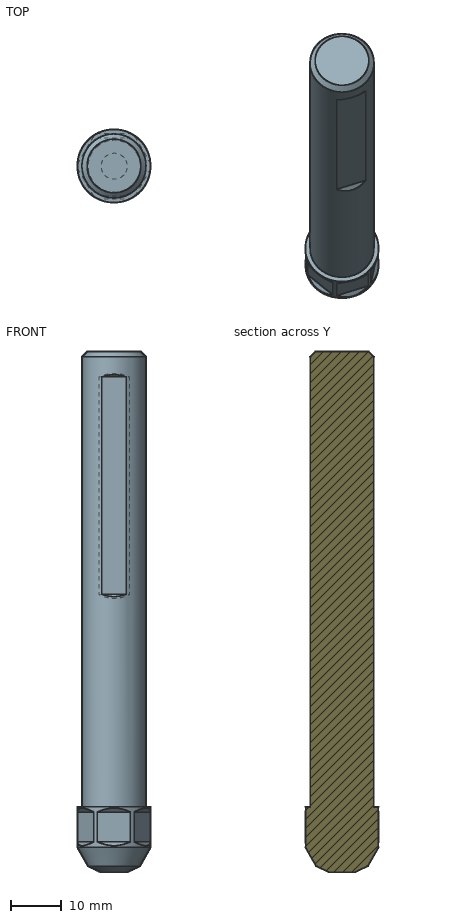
import cadquery as cq

length = 103.0
shaft_radius = 12.7 / 2
top_chamfer = 1.0

head_radius = 14.5 / 2
head_top = 13.0
cone_top = 4.9
cone_bottom = 1.2
cone_bottom_radius = 5.2
tip_radius = 2.6

flat_count = 6
flat_distance = 6.5
flat_bottom = 6.1
flat_top = 11.9

front_flat_distance = 5.9
back_flat_distance = 5.6
side_flat_bottom = 55.0
side_flat_top = 98.0


def revolved_body():
    """Shaft, conical head and blunt tip as one turned body."""
    return (
        cq.Workplane("XZ")
        .lineTo(tip_radius, 0)
        .lineTo(cone_bottom_radius, cone_bottom)
        .lineTo(head_radius, cone_top)
        .lineTo(head_radius, head_top)
        .lineTo(shaft_radius, head_top)
        .lineTo(shaft_radius, length - top_chamfer)
        .lineTo(shaft_radius - top_chamfer, length)
        .lineTo(0, length)
        .close()
        .revolve(360, (0, 0), (0, 1))
    )


def flat_cutter(distance, bottom, top, outer_radius, angle):
    """Cutter for a flat facing +Y before turning, with ends sloping out at 45 degrees."""
    depth = outer_radius - distance
    return (
        cq.Workplane("YZ")
        .moveTo(distance, bottom)
        .lineTo(outer_radius, bottom - depth)
        .lineTo(outer_radius, top + depth)
        .lineTo(distance, top)
        .close()
        .extrude(outer_radius, both=True)
        .rotate((0, 0, 0), (0, 0, 1), angle)
    )


result = revolved_body()

for index in range(flat_count):
    angle = index * 360 / flat_count
    result = result.cut(flat_cutter(flat_distance, flat_bottom, flat_top, head_radius, angle))

for distance, angle in ((front_flat_distance, 180), (back_flat_distance, 0)):
    result = result.cut(
        flat_cutter(distance, side_flat_bottom, side_flat_top, shaft_radius, angle)
    )